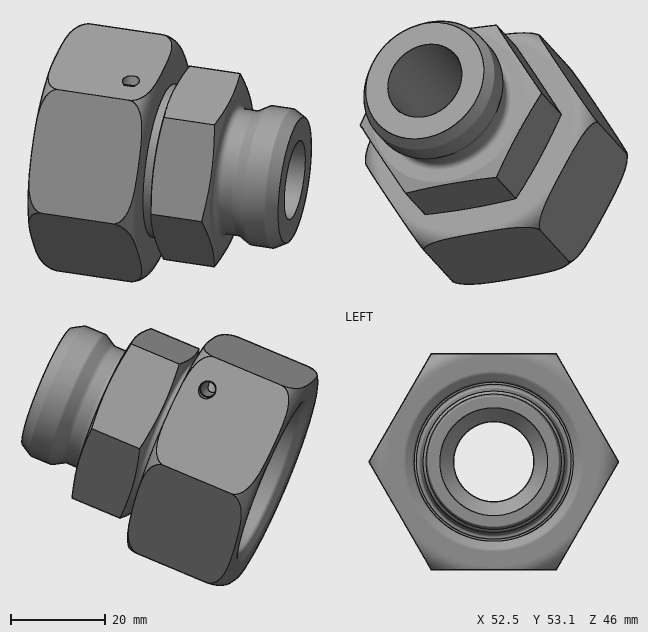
import cadquery as cq
import math


total_length = 52.5
hex_point_ratio = 2 / math.sqrt(3)

wire_diameter = 3.25
wire_ring_radius = 33.3 / 2
wire_x = 18.0

hole_tilt = 30.0
hole_mouth_diameter = 3.55
hole_mouth_depth = 1.0
hole_end_gap = 3.2

nut_length = 23.55
nut_across_flats = 46.0
nut_corner_round = 4.0
nut_thread_radius = 33.85 / 2
nut_shoulder_x = 14.5
countersink_angle = 60.0
countersink_radius = 18.85
countersink_outer_round = 1.1
countersink_inner_round = 0.7

bore_radius = 17 / 2
bore_mouth_radius = 11.5
collar_radius = 32.95 / 2
collar_front_x = 12.6
collar_edge_round = 0.2
collar_root_round = 0.55
hex_start_x = 25.55
hex_end_x = 38.5
hex_across_flats = 36.0
hex_chamfer_angle = 15.0
hex_chamfer_radius = 17.4

nose_x = 4.4
nose_radius = 13.95
nose_edge_round = 0.25
cone_angle = 12.0
cone_root_round = 0.5

ring_section_radius = 1.0
ring_inner_radius = 13.0
groove_start_x = 6.45
groove_width = 3.0

neck_radius = 26.9 / 2
neck_end_x = 42.55
neck_round = 1.05
neck_root_round = 1.2
thread_radius = 30.0 / 2
thread_slope = 30.0
thread_start_round = 0.8
thread_end_round = 0.4
end_radius = 13.55


def tan_deg(angle):
    return math.tan(math.radians(angle))


def revolve_about_x(profile):
    """Turn a closed profile, drawn with X along the axis and Z as the radius, about X."""
    return profile.revolve(360, (0, 0, 0), (1, 0, 0))


def ring_torus(centre_radius, section_radius, centre_x):
    """Round-section ring about the X axis."""
    section = cq.Workplane("XZ").center(centre_x, centre_radius).circle(section_radius)
    return section.revolve(360, (0, -centre_radius, 0), (1, -centre_radius, 0))


def hex_prism(across_flats, start_x, end_x):
    """Hexagonal bar along X, with flats on top and bottom and points on the Y sides."""
    point_diameter = across_flats * hex_point_ratio
    bar = cq.Workplane("YZ").workplane(offset=start_x).polygon(6, point_diameter)
    return bar.extrude(end_x - start_x)


def round_edge(solid, x, radius, round_radius):
    """Fillet the full circular edge of the given radius that lies at x."""
    tolerance = 0.005
    circles = solid.edges("%CIRCLE").filter(
        lambda edge: abs(edge.Center().x - x) < tolerance and abs(edge.radius() - radius) < tolerance
    )
    return circles.fillet(round_radius)



def make_nut_blank():
    """Hexagon with its corners rounded off at both ends."""
    point_radius = nut_across_flats / 2 * hex_point_ratio
    turned = cq.Workplane("YZ").circle(point_radius).extrude(nut_length)
    turned = turned.faces("<X or >X").edges().fillet(nut_corner_round)
    return hex_prism(nut_across_flats, 0, nut_length).intersect(turned)


def cut_nut_bore(nut):
    """Threaded bore with a rounded countersink, stepping down to a rear bore that runs on the collar."""
    countersink_depth = (countersink_radius - nut_thread_radius) / tan_deg(countersink_angle)
    cavity = revolve_about_x(
        cq.Workplane("XZ")
        .polyline([
            (0, 0),
            (0, countersink_radius),
            (countersink_depth, nut_thread_radius),
            (nut_shoulder_x, nut_thread_radius),
            (nut_shoulder_x, collar_radius),
            (nut_length, collar_radius),
            (nut_length, 0),
        ])
        .close()
    )
    nut = nut.cut(cavity)
    nut = round_edge(nut, 0, countersink_radius, countersink_outer_round)
    return round_edge(nut, countersink_depth, nut_thread_radius, countersink_inner_round)


def cut_wire_hole(nut):
    """Stepped hole that slants from the top flat down into the wire groove, in line with the wire."""
    tilt = math.radians(hole_tilt)
    outward = cq.Vector(0, math.sin(tilt), math.cos(tilt))
    touch_y = -wire_ring_radius * math.cos(tilt)
    touch_z = wire_ring_radius * math.sin(tilt)
    touch_point = cq.Vector(wire_x, touch_y, touch_z)
    length_to_flat = (nut_across_flats / 2 - touch_z) / math.cos(tilt)
    step_distance = length_to_flat - hole_mouth_depth
    shaft_length = step_distance - hole_end_gap
    shaft_end = touch_point + outward * hole_end_gap
    shaft = cq.Solid.makeCylinder(wire_diameter / 2, shaft_length, shaft_end, outward)
    overrun = hole_mouth_diameter
    mouth_start = touch_point + outward * step_distance
    mouth_length = hole_mouth_depth + overrun
    mouth = cq.Solid.makeCylinder(hole_mouth_diameter / 2, mouth_length, mouth_start, outward)
    return nut.cut(cq.Workplane(shaft)).cut(cq.Workplane(mouth))


def make_nut():
    nut = cut_nut_bore(make_nut_blank())
    nut = cut_wire_hole(nut)
    return nut.cut(make_wire())



def make_nose():
    """Sealing cone and collar, up to the start of the hexagon."""
    cone_end_radius = nose_radius + (collar_front_x - nose_x) * tan_deg(cone_angle)
    nose = revolve_about_x(
        cq.Workplane("XZ")
        .polyline([
            (nose_x, 0),
            (nose_x, nose_radius),
            (collar_front_x, cone_end_radius),
            (collar_front_x, collar_radius),
            (hex_start_x, collar_radius),
            (hex_start_x, 0),
        ])
        .close()
    )
    nose = round_edge(nose, nose_x, nose_radius, nose_edge_round)
    nose = round_edge(nose, collar_front_x, cone_end_radius, cone_root_round)
    return round_edge(nose, collar_front_x, collar_radius, collar_edge_round)


def make_body_hex():
    """Hexagon with its corners chamfered at both ends."""
    point_radius = hex_across_flats / 2 * hex_point_ratio
    chamfer_depth = (point_radius - hex_chamfer_radius) * tan_deg(hex_chamfer_angle)
    turned = revolve_about_x(
        cq.Workplane("XZ")
        .polyline([
            (hex_start_x, 0),
            (hex_start_x, hex_chamfer_radius),
            (hex_start_x + chamfer_depth, point_radius),
            (hex_end_x - chamfer_depth, point_radius),
            (hex_end_x, hex_chamfer_radius),
            (hex_end_x, 0),
        ])
        .close()
    )
    return hex_prism(hex_across_flats, hex_start_x, hex_end_x).intersect(turned)


def make_threaded_end():
    """Neck and plain thread cylinder with a slope at each end."""
    thread_start_x = neck_end_x + (thread_radius - neck_radius) / tan_deg(thread_slope)
    thread_end_x = total_length - (thread_radius - end_radius) / tan_deg(thread_slope)
    end = revolve_about_x(
        cq.Workplane("XZ")
        .polyline([
            (hex_end_x, 0),
            (hex_end_x, neck_radius),
            (neck_end_x, neck_radius),
            (thread_start_x, thread_radius),
            (thread_end_x, thread_radius),
            (total_length, end_radius),
            (total_length, 0),
        ])
        .close()
    )
    end = round_edge(end, neck_end_x, neck_radius, neck_round)
    end = round_edge(end, thread_start_x, thread_radius, thread_start_round)
    return round_edge(end, thread_end_x, thread_radius, thread_end_round)


def make_bore():
    """Through bore with a 45 degree mouth at the nose."""
    mouth_depth = bore_mouth_radius - bore_radius
    return revolve_about_x(
        cq.Workplane("XZ")
        .polyline([
            (nose_x, 0),
            (nose_x, bore_mouth_radius),
            (nose_x + mouth_depth, bore_radius),
            (total_length, bore_radius),
            (total_length, 0),
        ])
        .close()
    )


def make_ring_groove():
    """Square groove around the sealing cone."""
    groove = cq.Workplane("YZ").workplane(offset=groove_start_x)
    return groove.circle(collar_radius).circle(ring_inner_radius).extrude(groove_width)


def make_body():
    body = make_nose().union(make_body_hex()).union(make_threaded_end())
    body = round_edge(body, hex_start_x, collar_radius, collar_root_round)
    body = round_edge(body, hex_end_x, neck_radius, neck_root_round)
    return body.cut(make_bore()).cut(make_ring_groove()).cut(make_wire())



def make_o_ring():
    """Sealing ring, resting on the floor of its groove."""
    centre_radius = ring_inner_radius + ring_section_radius
    return ring_torus(centre_radius, ring_section_radius, groove_start_x + groove_width / 2)


def make_wire():
    """Closed ring of round wire, half in the nut and half in the body."""
    return ring_torus(wire_ring_radius, wire_diameter / 2, wire_x)


nut = make_nut()
body = make_body()
o_ring = make_o_ring()
wire = make_wire()

result = cq.Compound.makeCompound([part.solids().val() for part in (nut, body, o_ring, wire)])